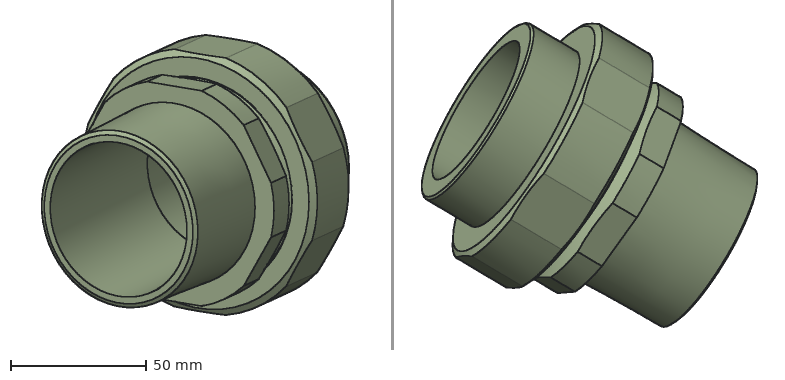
import cadquery as cq
import math

TOTAL_LENGTH = 103.1
HEX_FRONT = 39.8
HEX_RIM = 50.5
HEX_BACK = 53.4
NUT_FRONT = 56.5
NUT_BACK = 82.0
JOINT = (NUT_FRONT + NUT_BACK) / 2

BORE_DIAMETER = 59.2
TIP_DIAMETER = 67.6
THREAD_BASE_DIAMETER = 69.8
NECK_DIAMETER = 71.9
SHOULDER_DIAMETER = 79.5
SLEEVE_DIAMETER = 75.5

HEX_CORNER_DIAMETER = 86.2
HEX_FLATS = 82.9
NUT_FRONT_BORE_DIAMETER = 81.5
NUT_CORNER_DIAMETER = 101.6
NUT_FLATS = 99.1
NUT_FACE_DIAMETER = 96.2

TIP_CHAMFER_LENGTH = 0.8
TIP_FACE_DIAMETER = 64.3
SLEEVE_CHAMFER = 0.8
NUT_CHAMFER_LENGTH = 1.5
SHOULDER_CHAMFER_LENGTH = 2.1


def revolve_profile(points):
    """Revolve a closed (radius, axial position) outline about the Y axis."""
    return cq.Workplane("XY").polyline(points).close().revolve(360, (0, 0, 0), (0, 1, 0))


def hexagonal_prism(across_flats, start, end):
    """Hexagon along Y with flats facing +Z and -Z."""
    corner_diameter = across_flats / math.cos(math.pi / 6)
    plane = cq.Workplane("XZ", origin=(0, start, 0))
    return plane.polygon(6, corner_diameter).extrude(start - end)


def make_threaded_piece():
    bore = BORE_DIAMETER / 2
    neck = NECK_DIAMETER / 2
    hex_corner = HEX_CORNER_DIAMETER / 2

    tapered_end = revolve_profile([
        (bore, 0),
        (TIP_FACE_DIAMETER / 2, 0),
        (TIP_DIAMETER / 2, TIP_CHAMFER_LENGTH),
        (THREAD_BASE_DIAMETER / 2, HEX_FRONT),
        (bore, HEX_FRONT),
    ])

    collar = revolve_profile([
        (bore, HEX_FRONT),
        (hex_corner, HEX_FRONT),
        (hex_corner, HEX_RIM),
        (neck, HEX_BACK),
        (bore, HEX_BACK),
    ]).intersect(hexagonal_prism(HEX_FLATS, HEX_FRONT, HEX_BACK))

    neck_tube = revolve_profile([
        (bore, HEX_BACK),
        (neck, HEX_BACK),
        (neck, NUT_FRONT),
        (SHOULDER_DIAMETER / 2, NUT_FRONT + SHOULDER_CHAMFER_LENGTH),
        (SHOULDER_DIAMETER / 2, JOINT),
        (bore, JOINT),
    ])
    return tapered_end.union(collar).union(neck_tube)


def make_nut():
    front_bore = NUT_FRONT_BORE_DIAMETER / 2
    sleeve = SLEEVE_DIAMETER / 2
    corner = NUT_CORNER_DIAMETER / 2
    face = NUT_FACE_DIAMETER / 2
    ring = revolve_profile([
        (front_bore, NUT_FRONT),
        (face, NUT_FRONT),
        (corner, NUT_FRONT + NUT_CHAMFER_LENGTH),
        (corner, NUT_BACK - NUT_CHAMFER_LENGTH),
        (face, NUT_BACK),
        (sleeve, NUT_BACK),
        (sleeve, JOINT),
        (front_bore, JOINT),
    ])
    return ring.intersect(hexagonal_prism(NUT_FLATS, NUT_FRONT, NUT_BACK))


def make_sleeve():
    bore = BORE_DIAMETER / 2
    outer = SLEEVE_DIAMETER / 2
    return revolve_profile([
        (bore, JOINT),
        (outer, JOINT),
        (outer, TOTAL_LENGTH - SLEEVE_CHAMFER),
        (outer - SLEEVE_CHAMFER, TOTAL_LENGTH),
        (bore, TOTAL_LENGTH),
    ])


threaded_piece = make_threaded_piece()
nut = make_nut()
sleeve = make_sleeve()

result = cq.Compound.makeCompound([
    threaded_piece.val(),
    nut.val(),
    sleeve.val(),
])